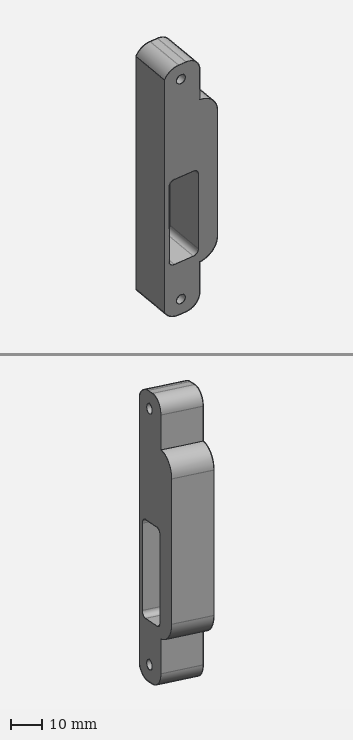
import cadquery as cq
import math

thickness = 15.5
depth = 21.0
height = 100.0

lug_depth = 14.0
body_height = 65.0
body_corner_radius = 7.5
lug_back_radius = 5.5
lug_front_radius = 6.3
front_arc_center_y = 5.6

hole_diameter = 3.5
hole_y = 6.5
hole_spacing = 88.0
window_depth = 11.5
window_height = 34.0
window_front_wall = 1.9
window_center_z = -12.0
window_corner_radius = 2.0


def make_lug_plate():
    """Full-height strip whose ends have a tangent back corner and a cut-off front arc."""
    top = height / 2
    back_arc_y = lug_depth - lug_back_radius
    back_arc_z = top - lug_back_radius
    diagonal = lug_back_radius * math.sqrt(0.5)

    front_arc_z = top - lug_front_radius
    front_end_z = front_arc_z + math.sqrt(lug_front_radius**2 - front_arc_center_y**2)
    end_angle = math.acos(front_arc_center_y / lug_front_radius)
    middle_angle = (end_angle + math.pi / 2) / 2
    front_mid_y = front_arc_center_y - lug_front_radius * math.cos(middle_angle)
    front_mid_z = front_arc_z + lug_front_radius * math.sin(middle_angle)

    upper_half = (
        cq.Workplane("YZ")
        .lineTo(0, front_end_z)
        .threePointArc((front_mid_y, front_mid_z), (front_arc_center_y, top))
        .lineTo(back_arc_y, top)
        .threePointArc((back_arc_y + diagonal, back_arc_z + diagonal), (lug_depth, back_arc_z))
        .lineTo(lug_depth, 0)
        .close()
        .extrude(thickness)
    )
    return upper_half.union(upper_half.mirror("XY"))


def make_body():
    """Deeper middle block with rounded back corners."""
    return (
        cq.Workplane("XY")
        .box(thickness, depth, body_height, centered=(False, False, True))
        .edges("|X and >Y")
        .fillet(body_corner_radius)
    )


def make_window():
    """Rounded rectangular opening through the thickness."""
    return (
        cq.Workplane("XY")
        .box(thickness, window_depth, window_height, centered=(False, False, True))
        .edges("|X")
        .fillet(window_corner_radius)
        .translate((0, window_front_wall, window_center_z))
    )


def make_screw_holes():
    """One through hole in each lug."""
    return (
        cq.Workplane("YZ")
        .pushPoints([(hole_y, side * hole_spacing / 2) for side in (-1, 1)])
        .circle(hole_diameter / 2)
        .extrude(thickness)
    )


result = make_lug_plate().union(make_body()).clean().cut(make_window()).cut(make_screw_holes())